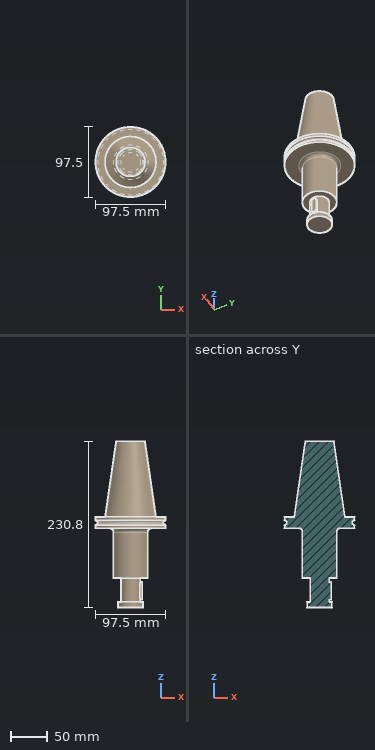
import cadquery as cq
import math


gauge_diameter = 69.85
taper_length = 101.75
taper_ratio = 7 / 24
flange_top_z = -3.2
taper_tip_diameter = gauge_diameter - taper_length * taper_ratio
taper_base_diameter = gauge_diameter - flange_top_z * taper_ratio

flange_diameter = 97.5
flange_thickness = 15.9
flange_bottom_z = flange_top_z - flange_thickness
groove_diameter = 91.25
groove_floor_width = 1.5
groove_flank_angle = 30
groove_corner_radius = 1.2
groove_center_z = -11.1

body_diameter = 48
body_bottom_z = -88
body_fillet = 5
arbor_diameter = 27
screw_head_diameter = 35
screw_head_height = 8
bottom_z = -129
screw_head_top_z = bottom_z + screw_head_height

key_width = 7
key_length = 25
key_height = 7
key_projection = 3
key_outer_x = arbor_diameter / 2 + key_projection
key_top_z = -93
key_center_z = key_top_z - key_length / 2


def make_turned_body():
    """Taper, flange, body, arbor and screw head as one revolved profile."""
    flange_radius = flange_diameter / 2
    groove_radius = groove_diameter / 2
    body_radius = body_diameter / 2
    arbor_radius = arbor_diameter / 2
    half_floor = groove_floor_width / 2
    flank_angle = math.radians(groove_flank_angle)
    arc_turn = math.pi / 2 - flank_angle
    arc_mid_radius = groove_radius + groove_corner_radius * (1 - math.cos(arc_turn / 2))
    arc_mid_height = half_floor + groove_corner_radius * math.sin(arc_turn / 2)
    arc_end_radius = groove_radius + groove_corner_radius * (1 - math.cos(arc_turn))
    arc_end_height = half_floor + groove_corner_radius * math.sin(arc_turn)
    half_mouth = arc_end_height + (flange_radius - arc_end_radius) * math.tan(flank_angle)
    fillet_offset = body_fillet * (1 - math.sqrt(0.5))
    profile = (
        cq.Workplane("XZ")
        .moveTo(0, taper_length)
        .lineTo(taper_tip_diameter / 2, taper_length)
        .lineTo(taper_base_diameter / 2, flange_top_z)
        .lineTo(flange_radius, flange_top_z)
        .lineTo(flange_radius, groove_center_z + half_mouth)
        .lineTo(arc_end_radius, groove_center_z + arc_end_height)
        .threePointArc(
            (arc_mid_radius, groove_center_z + arc_mid_height),
            (groove_radius, groove_center_z + half_floor),
        )
        .lineTo(groove_radius, groove_center_z - half_floor)
        .threePointArc(
            (arc_mid_radius, groove_center_z - arc_mid_height),
            (arc_end_radius, groove_center_z - arc_end_height),
        )
        .lineTo(flange_radius, groove_center_z - half_mouth)
        .lineTo(flange_radius, flange_bottom_z)
        .lineTo(body_radius + body_fillet, flange_bottom_z)
        .threePointArc(
            (body_radius + fillet_offset, flange_bottom_z - fillet_offset),
            (body_radius, flange_bottom_z - body_fillet),
        )
        .lineTo(body_radius, body_bottom_z)
        .lineTo(arbor_radius, body_bottom_z)
        .lineTo(arbor_radius, screw_head_top_z)
        .lineTo(screw_head_diameter / 2, screw_head_top_z)
        .lineTo(screw_head_diameter / 2, bottom_z)
        .lineTo(0, bottom_z)
        .close()
    )
    return profile.revolve(360, (0, 0, 0), (0, 1, 0))


def make_key():
    """Parallel key with full-round ends, sunk radially into the arbor."""
    return (
        cq.Workplane("YZ", origin=(key_outer_x - key_height, 0, key_center_z))
        .slot2D(key_length, key_width, 90)
        .extrude(key_height)
    )


result = make_turned_body().union(make_key())